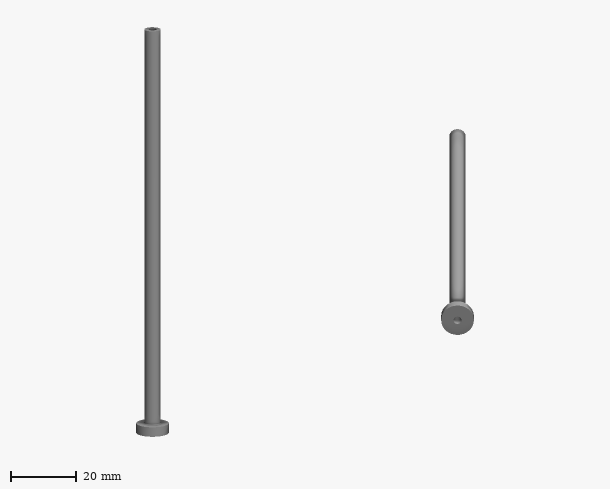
import cadquery as cq

overall_length = 128.0
head_diameter = 10.0
head_thickness = 3.0
tube_diameter = 5.0
bore_diameter = 2.5
neck_fillet_radius = 0.3

head_radius = head_diameter / 2
tube_radius = tube_diameter / 2
bore_radius = bore_diameter / 2


def sleeve_half_section():
    """Half section in the XZ plane, from the bore wall out to the head rim."""
    fillet_foot = (tube_radius + neck_fillet_radius, head_thickness)
    fillet_top = (tube_radius, head_thickness + neck_fillet_radius)
    return (
        cq.Workplane("XZ")
        .moveTo(bore_radius, 0)
        .lineTo(head_radius, 0)
        .lineTo(head_radius, head_thickness)
        .lineTo(*fillet_foot)
        .radiusArc(fillet_top, neck_fillet_radius)
        .lineTo(tube_radius, overall_length)
        .lineTo(bore_radius, overall_length)
        .close()
    )


result = sleeve_half_section().revolve(360, (0, 0, 0), (0, 1, 0))